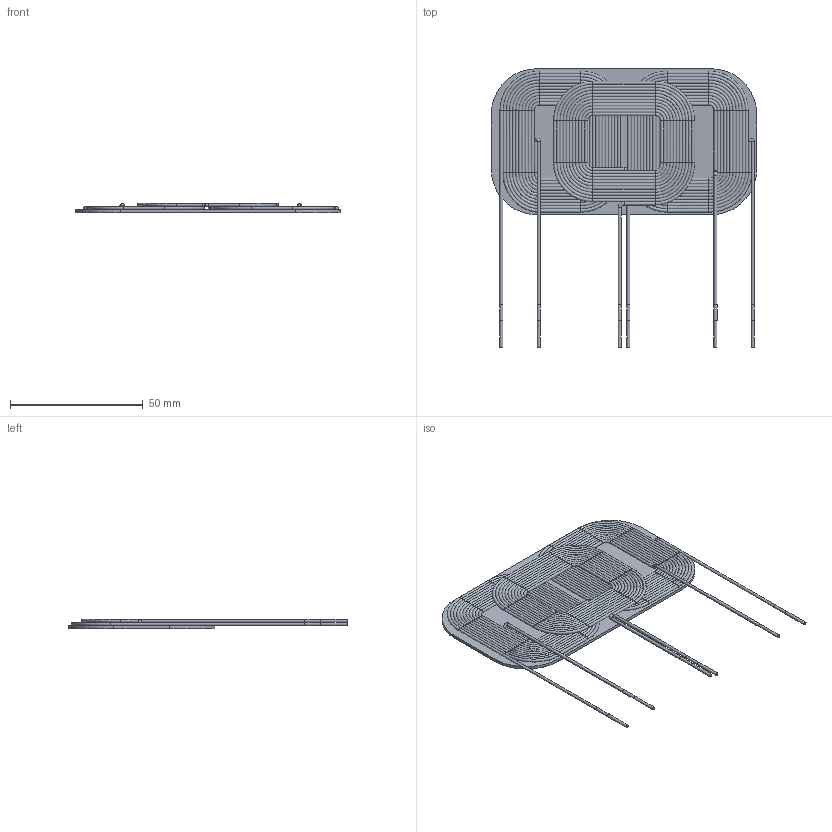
import cadquery as cq


plate_length = 100.0
plate_width = 55.0
plate_corner_radius = 17.0
plate_thickness = 1.16

wire_diameter = 1.14
sleeve_diameter = 1.16
layer_step = 1.16
lower_z = plate_thickness + wire_diameter / 2
upper_z = lower_z + layer_step

turn_count = 11
pitch = 1.175
inner_radius = 2.55
outer_radius = inner_radius + (turn_count - 1) * pitch
long_half_straight = 11.75
short_half_straight = 7.85
side_coil_x = 24.1

lead_end_y = -77.5
tip_length = 10.0
sleeve_length = 6.0
sleeve_start_y = lead_end_y + tip_length + sleeve_length
middle_lead_x = 1.65
ramp_length = 2.0
dive_radius = layer_step / 2
gap_bend_start_y = -17.0
gap_bend_end_y = -20.0

TOP_LEFT = (-1, 1)
TOP_RIGHT = (1, 1)
BOTTOM_LEFT = (-1, -1)
BOTTOM_RIGHT = (1, -1)
FIRST_ANGLE = {TOP_RIGHT: 0, TOP_LEFT: 90, BOTTOM_LEFT: 180, BOTTOM_RIGHT: 270}
BACK = cq.Vector(0, 1, 0)
FRONT = cq.Vector(0, -1, 0)
UP = cq.Vector(0, 0, 1)


def line(start, end):
    return cq.Edge.makeLine(cq.Vector(*start), cq.Vector(*end))


def quarter_bend(start, direction, end):
    return cq.Edge.makeTangentArc(cq.Vector(*start), cq.Vector(*direction), cq.Vector(*end))


def s_bend(start, end):
    """Two equal arcs that shift a wire sideways while it runs toward -Y."""
    first = cq.Vector(*start)
    last = cq.Vector(*end)
    middle = (first + last) / 2
    return [cq.Edge.makeTangentArc(first, FRONT, middle), cq.Edge.makeTangentArc(last, BACK, middle)]


def u_turn(start, end):
    """Half circle that turns a wire running toward +Y back toward -Y."""
    first = cq.Vector(*start)
    last = cq.Vector(*end)
    crest = (first + last) / 2 + BACK * ((last - first).Length / 2)
    return cq.Edge.makeThreePointArc(first, crest, last)


def corner_arc(centre, corner, x_radius, y_radius):
    angle = FIRST_ANGLE[corner]
    if x_radius == y_radius:
        return cq.Edge.makeCircle(x_radius, centre, UP, angle, angle + 90)
    return cq.Edge.makeEllipse(x_radius, y_radius, centre, UP, cq.Vector(1, 0, 0), angle, angle + 90)


def winding(centre, half_x, half_y, corners, stepping_corner, first_radius, start):
    """Edges of the spiral from `start`, and its last point.

    The wire passes `corners` in order and moves inward by one pitch at `stepping_corner`.
    """
    edges = []
    radius = first_radius
    here = start
    previous = corners[-1]
    for _ in range(turn_count):
        for corner in corners:
            exit_radius = radius - pitch if corner == stepping_corner else radius
            x_side, y_side = corner
            enters_on_x_side = previous[0] == x_side
            x_radius, y_radius = (radius, exit_radius) if enters_on_x_side else (exit_radius, radius)
            arc_centre = cq.Vector(centre[0] + x_side * half_x, centre[1] + y_side * half_y, centre[2])
            x_end = (arc_centre + cq.Vector(x_side * x_radius, 0, 0)).toTuple()
            y_end = (arc_centre + cq.Vector(0, y_side * y_radius, 0)).toTuple()
            entry, leave = (x_end, y_end) if enters_on_x_side else (y_end, x_end)
            edges.append(line(here, entry))
            edges.append(corner_arc(arc_centre, corner, x_radius, y_radius))
            here = leave
            radius = exit_radius
            previous = corner
    return edges, here


def make_sleeve(x, z):
    """Slightly thicker stretch of a lead, which leaves the lead's tip bare."""
    return cq.Solid.makeCylinder(sleeve_diameter / 2, sleeve_length, cq.Vector(x, sleeve_start_y, z), FRONT)


def wire_body(edges, leads):
    """Round wire along the edges, with a sleeve near the end of each lead (x, z)."""
    path = cq.Workplane(cq.Wire.assembleEdges(edges))
    first_x, first_z = leads[0]
    section = cq.Workplane(cq.Plane((first_x, lead_end_y, first_z), (1, 0, 0), (0, 1, 0)))
    body = section.circle(wire_diameter / 2).sweep(path)
    for x, z in leads:
        body = body.union(make_sleeve(x, z))
    return body


def make_plate():
    outline = cq.Workplane().rect(plate_length, plate_width).extrude(plate_thickness)
    return outline.edges("|Z").fillet(plate_corner_radius)


def make_upper_coil():
    outer_row_y = -(short_half_straight + outer_radius + pitch)
    lead_x = -middle_lead_x
    bend_y = outer_row_y - middle_lead_x
    start = (0, outer_row_y, upper_z)
    edges = [
        line((lead_x, lead_end_y, upper_z), (lead_x, bend_y, upper_z)),
        quarter_bend((lead_x, bend_y, upper_z), (0, 1, 0), start),
    ]
    turns, last = winding(
        (0, 0, upper_z),
        long_half_straight,
        short_half_straight,
        [BOTTOM_RIGHT, TOP_RIGHT, TOP_LEFT, BOTTOM_LEFT],
        BOTTOM_RIGHT,
        outer_radius + pitch,
        start,
    )
    edges += turns

    inner_row_y = last[1]
    dive_start = (0, inner_row_y, upper_z)
    dive_middle = (dive_radius, inner_row_y, upper_z - dive_radius)
    dive_end = (dive_radius, inner_row_y - dive_radius, lower_z)
    gap_bend_start = (dive_radius, gap_bend_start_y, lower_z)
    gap_bend_end = (middle_lead_x, gap_bend_end_y, lower_z)
    edges += [
        line(last, dive_start),
        quarter_bend(dive_start, (1, 0, 0), dive_middle),
        quarter_bend(dive_middle, (0, 0, -1), dive_end),
        line(dive_end, gap_bend_start),
        *s_bend(gap_bend_start, gap_bend_end),
        line(gap_bend_end, (middle_lead_x, lead_end_y, lower_z)),
    ]
    return wire_body(edges, [(lead_x, upper_z), (middle_lead_x, lower_z)])


def make_left_coil():
    outer_lead_x = -(side_coil_x + short_half_straight + outer_radius)
    outer_lead = (outer_lead_x, lead_end_y, lower_z)
    start = (outer_lead_x, 0, lower_z)
    turns, last = winding(
        (-side_coil_x, 0, lower_z),
        short_half_straight,
        long_half_straight,
        [TOP_LEFT, TOP_RIGHT, BOTTOM_RIGHT, BOTTOM_LEFT],
        BOTTOM_LEFT,
        outer_radius,
        start,
    )

    inner_lead_x = last[0] + pitch
    turn_start = (last[0], 0, lower_z)
    turn_end = (inner_lead_x, 0, upper_z)
    edges = [
        line(outer_lead, start),
        *turns,
        line(last, turn_start),
        u_turn(turn_start, turn_end),
        line(turn_end, (inner_lead_x, lead_end_y, upper_z)),
    ]
    return wire_body(edges, [(outer_lead_x, lower_z), (inner_lead_x, upper_z)])


def make_right_coil():
    outer_row_x = side_coil_x + short_half_straight + outer_radius + pitch
    outer_lead_x = outer_row_x + pitch
    outer_lead = (outer_lead_x, lead_end_y, lower_z)
    turn_start = (outer_lead_x, 0, lower_z)
    start = (outer_row_x, 0, lower_z)
    turns, last = winding(
        (side_coil_x, 0, lower_z),
        short_half_straight,
        long_half_straight,
        [BOTTOM_RIGHT, BOTTOM_LEFT, TOP_LEFT, TOP_RIGHT],
        BOTTOM_RIGHT,
        outer_radius + pitch,
        start,
    )

    inner_lead_x = last[0]
    ramp_start = (inner_lead_x, -long_half_straight + ramp_length / 2, lower_z)
    ramp_end = (inner_lead_x, -long_half_straight - ramp_length / 2, upper_z)
    edges = [
        line(outer_lead, turn_start),
        u_turn(turn_start, start),
        *turns,
        line(last, ramp_start),
        *s_bend(ramp_start, ramp_end),
        line(ramp_end, (inner_lead_x, lead_end_y, upper_z)),
    ]
    return wire_body(edges, [(outer_lead_x, lower_z), (inner_lead_x, upper_z)])


plate = make_plate()
upper_coil = make_upper_coil()
left_coil = make_left_coil()
right_coil = make_right_coil()

result = cq.Compound.makeCompound([plate.val(), upper_coil.val(), left_coil.val(), right_coil.val()])